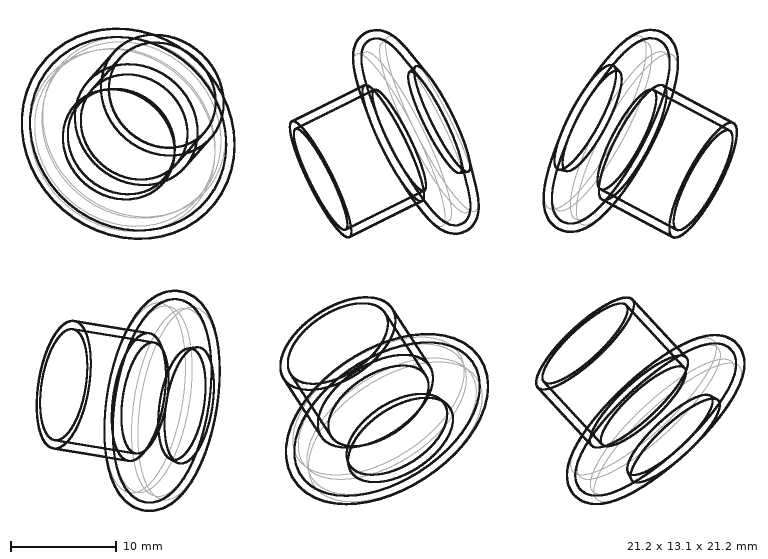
import cadquery as cq
import math

wall = 0.8
total_length = 13.14
flange_outer_radius = 21.15 / 2
tube_outer_radius = 6.15
tube_start_y = 5.28
mouth_radius = 5.6
rim_radius = 1.82
rim_centre_y = 2.84

rim_centre_radius = flange_outer_radius - rim_radius
tube_bore_radius = tube_outer_radius - wall
rim_bore_radius = rim_radius - wall


def tangent_tilt(radial_distance, axial_distance):
    """Angle between the radial direction and a line from a point tangent to the rim."""
    distance = math.hypot(radial_distance, axial_distance)
    return math.acos(rim_radius / distance) - math.atan2(radial_distance, axial_distance)


def rim_point(section_radius, tilt, side):
    """Point (radius, y) where a cone touches the rim; side is -1 in front, +1 behind."""
    return (
        rim_centre_radius + section_radius * math.sin(tilt),
        rim_centre_y + side * section_radius * math.cos(tilt),
    )


front_tilt = tangent_tilt(rim_centre_radius - mouth_radius, rim_centre_y)
rear_tilt = tangent_tilt(rim_centre_radius - tube_outer_radius, tube_start_y - rim_centre_y)

mouth_inner = (
    mouth_radius - wall * math.sin(front_tilt),
    wall * math.cos(front_tilt),
)

rear_inner_start = rim_point(rim_bore_radius, rear_tilt, 1)
bore_start_y = rear_inner_start[1] + (rear_inner_start[0] - tube_bore_radius) * math.tan(rear_tilt)

profile = (
    cq.Workplane("XY")
    .moveTo(mouth_radius, 0)
    .lineTo(*rim_point(rim_radius, front_tilt, -1))
    .threePointArc(
        (flange_outer_radius, rim_centre_y),
        rim_point(rim_radius, rear_tilt, 1),
    )
    .lineTo(tube_outer_radius, tube_start_y)
    .lineTo(tube_outer_radius, total_length)
    .lineTo(tube_bore_radius, total_length)
    .lineTo(tube_bore_radius, bore_start_y)
    .lineTo(*rear_inner_start)
    .threePointArc(
        (flange_outer_radius - wall, rim_centre_y),
        rim_point(rim_bore_radius, front_tilt, -1),
    )
    .lineTo(*mouth_inner)
    .close()
)

result = profile.revolve(360, (0, 0, 0), (0, 1, 0))